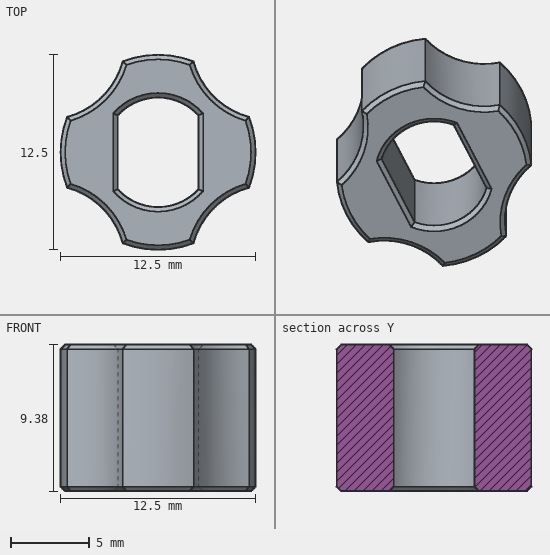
import cadquery as cq

outer_radius = 6.24
height = 9.38

scallop_radius = 5.0
scallop_center = 7.1
scallop_signs = [(sx, sy) for sx in (-1, 1) for sy in (-1, 1)]

hole_radius = 3.49
hole_flat_width = 5.14

chamfer_size = 0.3


def make_body():
    """Cylinder with four concave scallops cut along its full height."""
    body = cq.Workplane("XY").circle(outer_radius).extrude(height)
    scallop_centers = [(sx * scallop_center, sy * scallop_center) for sx, sy in scallop_signs]
    scallops = cq.Workplane("XY").pushPoints(scallop_centers).circle(scallop_radius).extrude(height)
    return body.cut(scallops)


def make_hole():
    """Double-D plug that forms the through hole."""
    round_plug = cq.Workplane("XY").circle(hole_radius).extrude(height)
    flat_slab = cq.Workplane("XY").rect(hole_flat_width, 2 * hole_radius).extrude(height)
    return round_plug.intersect(flat_slab)


def chamfer_end_faces(part):
    """Chamfer the outline and the hole rim on the top and bottom faces."""
    return part.faces("<Z or >Z").edges().chamfer(chamfer_size)


result = chamfer_end_faces(make_body().cut(make_hole()))